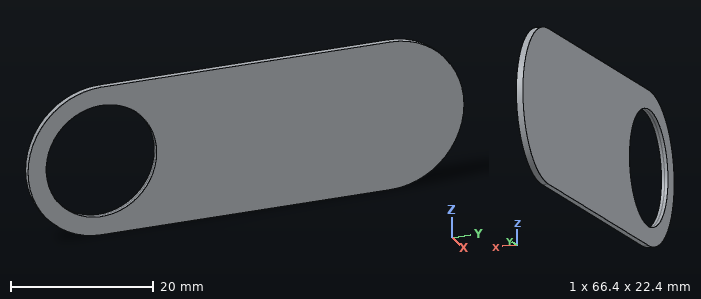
import cadquery as cq

length = 66.4
width = 22.4
thickness = 1.0
hole_diameter = 16.8

hole_center_y = -(length - width) / 2


def tag_plate():
    """Flat plate with fully rounded ends, centred on the origin."""
    return (
        cq.Workplane("YZ")
        .slot2D(length, width)
        .extrude(thickness / 2, both=True)
    )


def ring_hole():
    """Cylinder that cuts through the full plate thickness."""
    return (
        cq.Workplane("YZ")
        .center(hole_center_y, 0)
        .circle(hole_diameter / 2)
        .extrude(thickness, both=True)
    )


result = tag_plate().cut(ring_hole())